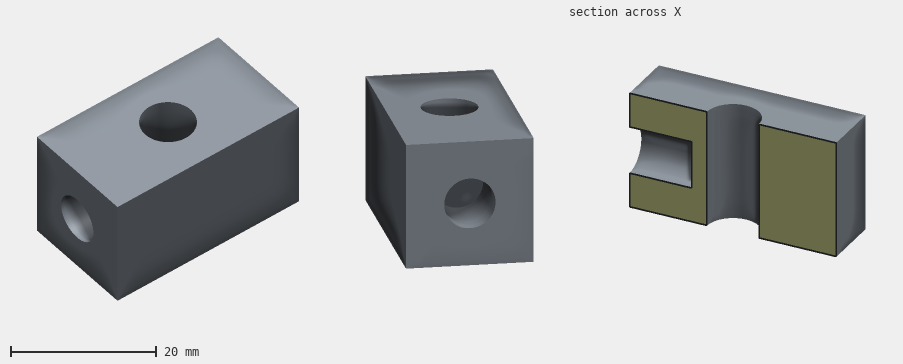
import cadquery as cq

length = 31.75
side = 17.78

cross_hole_diameter = 7.95
end_hole_diameter = 7.15
end_hole_depth = 9.52

block = cq.Workplane("XY").box(side, length, side)

block = block.faces(">Z").workplane().hole(cross_hole_diameter)

result = block.faces("<Y").workplane(centerOption="CenterOfMass").hole(end_hole_diameter, end_hole_depth)